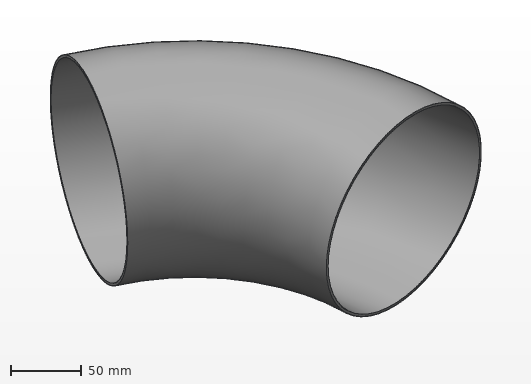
import cadquery as cq
import math

bend_angle = 60.0
overall_length = 270.3
outer_diameter = 168.5
wall = 2.0

outer_radius = outer_diameter / 2
inner_radius = outer_radius - wall

bend_radius = overall_length / math.sin(math.radians(bend_angle)) - outer_radius

axis_start = (bend_radius, 0)
axis_end = (bend_radius, -1)

result = (
    cq.Workplane("XZ")
    .circle(outer_radius)
    .circle(inner_radius)
    .revolve(bend_angle, axis_start, axis_end)
)